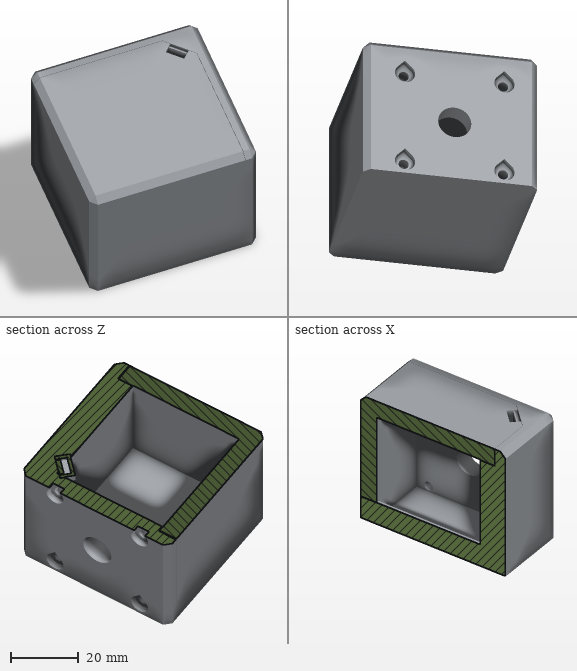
import cadquery as cq
import math

LENGTH = 52.75
HEIGHT = 44.4
EDGE_CHAMFER = 2.0

RIM = 4.0
BASE_FRONT_HEIGHT = 7.9
CORNER_CUT = 7.9
CLEARANCE = 0.1

WALL = 6.0
FLOOR = 2.0
CAVITY_BACK = 43.55
RAMP_START = 19.5

PATTERN_Y = 25.4
PATTERN_Z = 19.0
SCREW_PITCH = 30.05
CENTRE_HOLE_DIAMETER = 10.0
SCREW_DIAMETER = 3.05
SCREW_HEAD_DIAMETER = 6.05
SCREW_HEAD_DEPTH = 2.0

SLOT_LENGTH = 6.0
SLOT_WIDTH = 3.4
FINGER_GAP = 0.2
FINGER_THICKNESS = 1.4
FINGER_CHAMFER = 1.05
POCKET_FLOOR_Z = 35.6
POCKET_WALL = 1.2

OPENING_BACK = LENGTH - RIM
COVER_HEIGHT = HEIGHT - BASE_FRONT_HEIGHT
CAVITY_RIGHT = LENGTH - WALL
CAVITY_TOP = HEIGHT - WALL

LATCH_INSET = CORNER_CUT / 2 + CLEARANCE * math.sqrt(0.5)
LATCH_PLANE = cq.Plane(
    origin=(RIM + LATCH_INSET, OPENING_BACK - LATCH_INSET, HEIGHT),
    xDir=(1, 1, 0),
    normal=(0, 0, -1),
)


def box_between(low, high):
    """Axis-aligned box from its low corner to its high corner."""
    size = [b - a for a, b in zip(low, high)]
    return cq.Workplane("XY").box(*size, centered=False).translate(low)


def latch_box(length, width, depth):
    """Box centred along the diagonal, reaching `width` into the cover and `depth` down."""
    return cq.Workplane(LATCH_PLANE).center(0, width / 2).rect(length, width).extrude(depth)


def make_envelope():
    """Whole closed box, chamfered on its upright and top edges."""
    block = box_between((0, 0, 0), (LENGTH, LENGTH, HEIGHT))
    return block.edges("|Z or >Z").chamfer(EDGE_CHAMFER)


def make_cavity():
    """Room under the cover, with a ramped pocket sunk into the base's floor."""
    room = box_between((WALL, WALL, BASE_FRONT_HEIGHT), (CAVITY_RIGHT, CAVITY_BACK, CAVITY_TOP))
    ramp_run = BASE_FRONT_HEIGHT - FLOOR
    pocket = (
        cq.Workplane("XZ", origin=(0, CAVITY_BACK, 0))
        .moveTo(WALL, FLOOR)
        .lineTo(RAMP_START, FLOOR)
        .lineTo(RAMP_START + ramp_run, BASE_FRONT_HEIGHT)
        .lineTo(WALL, BASE_FRONT_HEIGHT)
        .close()
        .extrude(CAVITY_BACK - WALL)
    )
    return room.union(pocket)


def make_wall_holes():
    """Centre hole and four screw holes with teardrop head recesses, through the -X wall."""
    wall_plane = cq.Workplane("YZ", origin=(0, PATTERN_Y, PATTERN_Z))
    holes = wall_plane.circle(CENTRE_HOLE_DIAMETER / 2).extrude(WALL)
    screws = wall_plane.rect(SCREW_PITCH, SCREW_PITCH, forConstruction=True).vertices()
    holes = holes.union(screws.circle(SCREW_DIAMETER / 2).extrude(WALL))

    head_radius = SCREW_HEAD_DIAMETER / 2
    tangent = head_radius * math.sqrt(0.5)
    for y_side in (-1, 1):
        for z_side in (-1, 1):
            recess = (
                wall_plane.center(y_side * SCREW_PITCH / 2, z_side * SCREW_PITCH / 2)
                .moveTo(-tangent, tangent)
                .threePointArc((0, -head_radius), (tangent, tangent))
                .lineTo(0, 2 * tangent)
                .close()
                .extrude(SCREW_HEAD_DEPTH)
            )
            holes = holes.union(recess)
    return holes


def make_outline(gap):
    """Solid block filling the base's opening, set back by `gap` from the rim and its diagonal."""
    left = RIM + gap
    back = OPENING_BACK - gap
    corner_leg = CORNER_CUT - gap * (2 - math.sqrt(2))
    return (
        cq.Workplane("XY", origin=(0, 0, BASE_FRONT_HEIGHT))
        .moveTo(left, 0)
        .lineTo(LENGTH, 0)
        .lineTo(LENGTH, back)
        .lineTo(left + corner_leg, back)
        .lineTo(left, back - corner_leg)
        .close()
        .extrude(COVER_HEIGHT)
    )


def make_latch_housing():
    """Walled pocket below the cover's top plate that holds the latch slot."""
    depth = HEIGHT - POCKET_FLOOR_Z + POCKET_WALL
    return latch_box(SLOT_LENGTH + 2 * POCKET_WALL, SLOT_WIDTH + POCKET_WALL, depth)


def make_latch_slot():
    """Slot around a spring finger whose top outer edge is chamfered."""
    depth = HEIGHT - POCKET_FLOOR_Z
    finger = latch_box(SLOT_LENGTH - 2 * FINGER_GAP, FINGER_THICKNESS, depth)
    outer_top_edge = cq.selectors.NearestToPointSelector(LATCH_PLANE.origin.toTuple())
    finger = finger.edges(outer_top_edge).chamfer(FINGER_CHAMFER)
    return latch_box(SLOT_LENGTH, SLOT_WIDTH, depth).cut(finger)


def make_cover_space(envelope, gap):
    """Top, front and +X plates with the latch housing, set back by `gap` from the rim."""
    under_plate = box_between((0, WALL, 0), (CAVITY_RIGHT, LENGTH, CAVITY_TOP))
    plates = make_outline(gap).cut(under_plate)
    return plates.union(make_latch_housing()).intersect(envelope)


envelope = make_envelope()
wall_holes = make_wall_holes()

base = envelope.cut(make_cover_space(envelope, 0)).cut(make_cavity()).cut(wall_holes)
cover = make_cover_space(envelope, CLEARANCE).cut(make_latch_slot()).cut(wall_holes)

result = cq.Compound.makeCompound([base.val(), cover.val()])